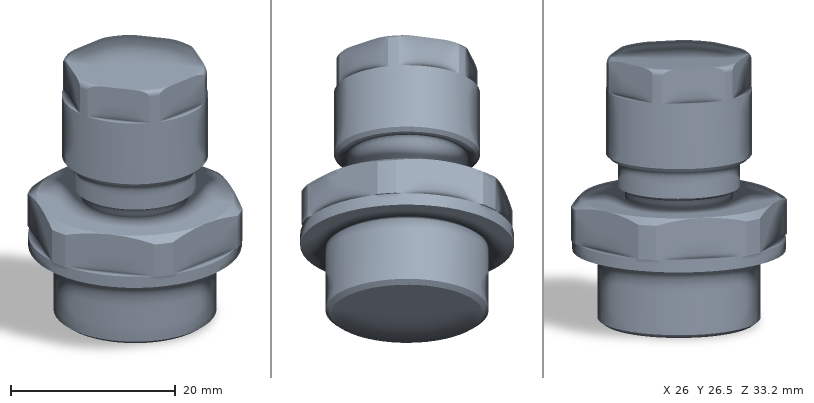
import cadquery as cq
import math

collar_bottom = 9.0
collar_top = 10.5
hex_top = 15.5
neck_top = 16.5
nut_bottom = 20.5
nut_shoulder = 29.02
overall_height = 33.2

lower_stud_diameter = 19.85
collar_diameter = 26.0
neck_diameter = 13.1
upper_stud_diameter = 14.85
nut_diameter = 17.8

body_hex_flats = 24.0
body_hex_corner_diameter = 26.5
nut_hex_flats = 16.0
hex_chamfer_angle = 30.0

stud_chamfer_height = 0.5
stud_chamfer_width = 0.65
neck_chamfer_height = 0.43
nut_chamfer = 0.45
nut_top_radius = 0.7


def cylinder(diameter, bottom, top):
    return cq.Workplane("XY").workplane(offset=bottom).circle(diameter / 2).extrude(top - bottom)


def hexagon(across_flats, bottom, top):
    across_corners = across_flats / math.cos(math.radians(30))
    return (
        cq.Workplane("XY")
        .workplane(offset=bottom)
        .transformed(rotate=(0, 0, 30))
        .polygon(6, across_corners)
        .extrude(top - bottom)
    )


def make_lower_stud():
    stud = cylinder(lower_stud_diameter, 0, collar_bottom)
    return stud.faces("<Z or >Z").edges().chamfer(stud_chamfer_height, stud_chamfer_width)


def make_body_hex():
    chamfer_width = (body_hex_corner_diameter - body_hex_flats) / 2
    chamfer_height = chamfer_width * math.tan(math.radians(hex_chamfer_angle))
    envelope = (
        cq.Workplane("XZ")
        .moveTo(0, collar_top)
        .lineTo(body_hex_corner_diameter / 2, collar_top)
        .lineTo(body_hex_corner_diameter / 2, hex_top - chamfer_height)
        .lineTo(body_hex_flats / 2, hex_top)
        .lineTo(0, hex_top)
        .close()
        .revolve(360, (0, 0), (0, 1))
    )
    return envelope.intersect(hexagon(body_hex_flats, collar_top, hex_top))


def make_upper_stud():
    neck_radius = neck_diameter / 2
    stud_radius = upper_stud_diameter / 2
    return (
        cq.Workplane("XZ")
        .moveTo(0, hex_top)
        .lineTo(neck_radius, hex_top)
        .lineTo(neck_radius, neck_top)
        .lineTo(stud_radius, neck_top + neck_chamfer_height)
        .lineTo(stud_radius, nut_bottom)
        .lineTo(0, nut_bottom)
        .close()
        .revolve(360, (0, 0), (0, 1))
    )


def make_nut():
    nut = cylinder(nut_diameter, nut_bottom, overall_height)
    nut = nut.faces("<Z").edges().chamfer(nut_chamfer)
    nut = nut.faces(">Z").edges().fillet(nut_top_radius)
    waste = cylinder(collar_diameter, nut_shoulder, overall_height)
    waste = waste.cut(hexagon(nut_hex_flats, nut_shoulder, overall_height))
    return nut.cut(waste)


result = (
    make_lower_stud()
    .union(cylinder(collar_diameter, collar_bottom, collar_top))
    .union(make_body_hex())
    .union(make_upper_stud())
    .union(make_nut())
)